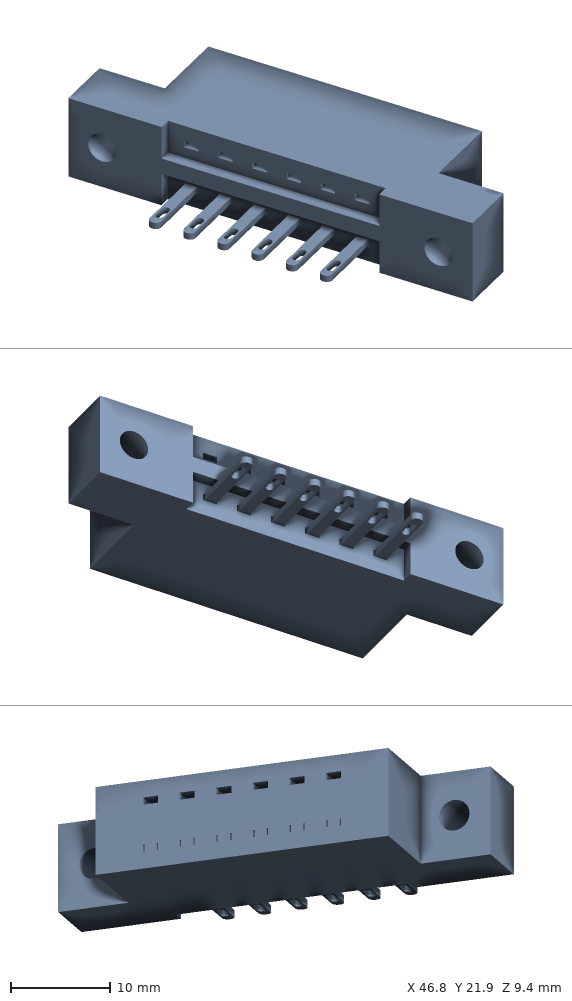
import cadquery as cq

FLANGE_LENGTH = 46.8
HOUSING_HEIGHT = 9.4
FLANGE_DEPTH = 6.35
BODY_LENGTH = 31.7
HOUSING_DEPTH = 15.25
MOUNT_HOLE_DIAMETER = 3.28
MOUNT_HOLE_SPACING = 38.95

RECESS_LENGTH = 25.2
RECESS_DEPTH = 1.3
RIB_HEIGHT = 1.82

CONTACTS_PER_ROW = 6
CONTACT_SPAN = 19.8
ROW_SPACING = 5.05
SLOT_WIDTH = 1.65
SLOT_HEIGHT = 0.75

PIN_WIDTH = 1.3
PIN_PROJECTION = 6.6
PIN_TIP_RADIUS = 0.6
EYE_LENGTH = 2.1
EYE_WIDTH = 0.85
EYE_TO_TIP = 2.05

CONTACT_PITCH = CONTACT_SPAN / (CONTACTS_PER_ROW - 1)
CONTACT_XS = [i * CONTACT_PITCH - CONTACT_SPAN / 2 for i in range(CONTACTS_PER_ROW)]
UPPER_ROW_Z = ROW_SPACING / 2
LOWER_ROW_Z = -ROW_SPACING / 2


def box_from_front(length, depth, height, center_z=0.0):
    """Box centred on X whose front side lies in the front face, Y = 0."""
    box = cq.Workplane("XY").box(length, depth, height, centered=(True, False, True))
    return box.translate((0, 0, center_z))


def make_housing():
    housing = box_from_front(FLANGE_LENGTH, FLANGE_DEPTH, HOUSING_HEIGHT)
    housing = housing.union(box_from_front(BODY_LENGTH, HOUSING_DEPTH, HOUSING_HEIGHT))

    mount_holes = (
        cq.Workplane("XZ")
        .pushPoints([(-MOUNT_HOLE_SPACING / 2, 0), (MOUNT_HOLE_SPACING / 2, 0)])
        .circle(MOUNT_HOLE_DIAMETER / 2)
        .extrude(-FLANGE_DEPTH)
    )
    housing = housing.cut(mount_holes)

    recess_height = (HOUSING_HEIGHT - RIB_HEIGHT) / 2
    recess_z = (RIB_HEIGHT + recess_height) / 2
    for center_z in (-recess_z, recess_z):
        housing = housing.cut(box_from_front(RECESS_LENGTH, RECESS_DEPTH, recess_height, center_z))

    slots = (
        cq.Workplane("XZ")
        .pushPoints([(x, z) for z in (LOWER_ROW_Z, UPPER_ROW_Z) for x in CONTACT_XS])
        .rect(SLOT_WIDTH, SLOT_HEIGHT)
        .extrude(-HOUSING_DEPTH)
    )
    return housing.cut(slots)


def make_pin(center_x):
    """Flat pin with a rounded tip and a solder eye, resting between the slot's floor and roof."""
    pin_length = PIN_PROJECTION + HOUSING_DEPTH
    pin = (
        cq.Workplane("XY")
        .box(PIN_WIDTH, pin_length, SLOT_HEIGHT, centered=(True, False, True))
        .translate((0, -PIN_PROJECTION, 0))
        .edges("|Z and <Y")
        .fillet(PIN_TIP_RADIUS)
    )
    eye = (
        cq.Workplane("XY")
        .center(0, EYE_TO_TIP - PIN_PROJECTION)
        .slot2D(EYE_LENGTH, EYE_WIDTH, 90)
        .extrude(SLOT_HEIGHT, both=True)
    )
    return pin.cut(eye).translate((center_x, 0, LOWER_ROW_Z))


housing = make_housing()
pins = [make_pin(x) for x in CONTACT_XS]

result = cq.Compound.makeCompound([housing.val(), *[pin.val() for pin in pins]])